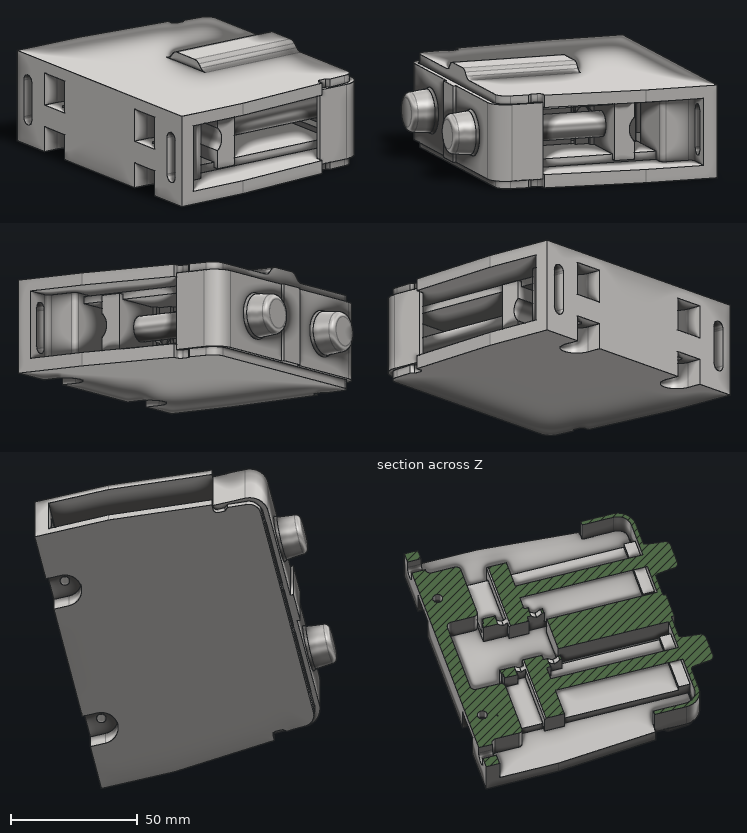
import cadquery as cq
import math

WIDTH = 110.0
CASE_HEIGHT = 37.3
MID_X = WIDTH / 2
STRAIGHT_LENGTH = 29.9
SHOULDER_Y = 71.1
SHOULDER_HALF_WIDTH = 51.5
CASE_BACK = 88.9
FRONT_WALL = 5.7
FLOOR_TOP = 5.4
ROOF_BOTTOM = 32.3

TONGUE_HALF_WIDTH = 49.0
TONGUE_BACK_HALF_WIDTH = 48.4
NOTCH_HALF_WIDTH = 47.7
NOTCH_END_Y = 75.5
NOTCH_JOG = 1.3
NOTCH_RADIUS = 1.6
TONGUE_CORNER_Y = 84.2

COVER_HALF_WIDTH = 49.8
COVER_BACK = 91.6
COVER_BOTTOM = 3.3
COVER_TOP = 34.0
COVER_WALL = 2.0
COVER_CORNER_RADIUS = 7.5
TAB_WIDTH = 11.2
TAB_BACK = 92.8

RIDGE_FRONT = 42.1
RIDGE_HALF_WIDTH = 12.9
RIDGE_HEIGHT = 3.7
RIDGE_RADIUS = 4.0

SLOT_X = 7.2
SLOT_WIDTH = 5.4
SLOT_BOTTOM = 8.4
SLOT_TOP = 28.8
POCKET_X = 25.0
POCKET_WIDTH = 13.2
POCKET_STRAIGHT = 6.2
UPPER_POCKET_BOTTOM = 19.2
UPPER_POCKET_TOP = 32.5
LOWER_POCKET_TOP = 10.3
MOUNT_HOLE_RADIUS = 1.9
HOUSING_WIDTH = 25.7
HOUSING_BACK = 19.1
HOUSING_RADIUS = 2.0

TERMINAL_X = 31.1
TERMINAL_Z = 18.6
PLATE_HALF_WIDTH = 13.0
LOWER_PLATE_TOP = 8.7
UPPER_PLATE_BOTTOM = 28.6
UPPER_PLATE_TOP = 31.5
WALL_THICKNESS = 2.2
JAW_FRONT = 19.8
JAW_LENGTH = 5.5
PARTITION_FRONT = 44.2
PARTITION_WIDTH = 15.4
BLOCK_HALF_WIDTH = 15.2
BLOCK_FRONT = 29.0
BLOCK_BACK = 37.3
BLOCK_BOTTOM = 6.5
BLOCK_TOP = 30.7
CABLE_HOLE_Y = 27.4
CABLE_HOLE_PITCH = 13.6
CABLE_HOLE_HALF_LENGTH = 3.7
CABLE_HOLE_HALF_HEIGHT = 5.7
SHAFT_RADIUS = 5.2
LEDGE_FRONT = 84.9
LEDGE_TOP = 10.8

KNOB_END = 101.8
KNOB_ROOT_RADIUS = 9.2
KNOB_BASE_RADIUS = 8.7
KNOB_BASE_Y = 92.8
KNOB_TIP_RADIUS = 7.8
KNOB_ROUNDING = 2.2


def box(x_range, y_range, z_range):
    sizes = [high - low for low, high in (x_range, y_range, z_range)]
    return cq.Workplane("XY").box(*sizes, centered=False).translate(
        (x_range[0], y_range[0], z_range[0])
    )


def centered_box(center_x, half_width, y_range, z_range):
    return box((center_x - half_width, center_x + half_width), y_range, z_range)


def both_sides(shape):
    """Join a left-hand shape with its mirror image across the middle of the part."""
    mirrored = shape.translate((-MID_X, 0, 0)).mirror("YZ").translate((MID_X, 0, 0))
    return shape.union(mirrored)


def case_plate(bottom, top):
    """Slab with the full outline of the case, including the notched rear part."""
    corner_run = CASE_BACK - TONGUE_CORNER_Y
    corner_half_width = TONGUE_BACK_HALF_WIDTH - corner_run
    bulge = corner_run * math.sqrt(0.5)
    half = (
        cq.Workplane("XY", origin=(MID_X, 0, bottom))
        .lineTo(-MID_X, 0)
        .lineTo(-MID_X, STRAIGHT_LENGTH)
        .lineTo(-SHOULDER_HALF_WIDTH, SHOULDER_Y)
        .lineTo(-NOTCH_HALF_WIDTH - NOTCH_RADIUS, SHOULDER_Y)
        .radiusArc((-NOTCH_HALF_WIDTH, SHOULDER_Y + NOTCH_RADIUS), -NOTCH_RADIUS)
        .lineTo(-NOTCH_HALF_WIDTH, NOTCH_END_Y)
        .lineTo(-TONGUE_HALF_WIDTH, NOTCH_END_Y + NOTCH_JOG)
        .lineTo(-TONGUE_BACK_HALF_WIDTH, TONGUE_CORNER_Y)
        .threePointArc(
            (-corner_half_width - bulge, TONGUE_CORNER_Y + bulge),
            (-corner_half_width, CASE_BACK),
        )
        .lineTo(0, CASE_BACK)
        .close()
        .extrude(top - bottom)
    )
    return both_sides(half)


def case():
    front_wall = box((0, WIDTH), (0, FRONT_WALL), (0, CASE_HEIGHT))
    return (
        case_plate(0, FLOOR_TOP)
        .union(case_plate(ROOF_BOTTOM, CASE_HEIGHT))
        .union(front_wall)
    )


def cover_block(inset, bottom, top):
    return (
        centered_box(
            MID_X, COVER_HALF_WIDTH - inset, (SHOULDER_Y, COVER_BACK - inset), (bottom, top)
        )
        .edges("|Z and >Y")
        .fillet(COVER_CORNER_RADIUS - inset)
    )


def cover():
    """Open-ended band that leaves a narrow gap behind the floor and the roof."""
    cavity = cover_block(COVER_WALL, COVER_BOTTOM, COVER_TOP)
    tab_y = (COVER_BACK - COVER_WALL, TAB_BACK)
    tab = centered_box(MID_X, TAB_WIDTH / 2, tab_y, (COVER_BOTTOM, COVER_TOP))
    return cover_block(0, COVER_BOTTOM, COVER_TOP).union(tab).cut(cavity)


def ridge():
    """Flat-topped ridge whose 45 degree flanks blend into the roof and the top."""
    arc_run = RIDGE_RADIUS * math.sin(math.pi / 4)
    arc_rise = RIDGE_RADIUS - arc_run
    flank = RIDGE_HEIGHT - 2 * arc_rise
    lower_x = RIDGE_HALF_WIDTH - arc_run
    upper_x = lower_x - flank
    top_x = upper_x - arc_run
    half = (
        cq.Workplane("XZ", origin=(MID_X, CASE_BACK, CASE_HEIGHT))
        .lineTo(-RIDGE_HALF_WIDTH, 0)
        .radiusArc((-lower_x, arc_rise), -RIDGE_RADIUS)
        .lineTo(-upper_x, arc_rise + flank)
        .radiusArc((-top_x, RIDGE_HEIGHT), RIDGE_RADIUS)
        .lineTo(0, RIDGE_HEIGHT)
        .close()
        .extrude(CASE_BACK - RIDGE_FRONT)
    )
    return both_sides(half)


def pocket_housing():
    """Solid behind the front wall that holds the mounting pockets."""
    housing = (
        centered_box(
            POCKET_X, HOUSING_WIDTH / 2, (FRONT_WALL, HOUSING_BACK), (FLOOR_TOP, ROOF_BOTTOM)
        )
        .edges("|Z and >Y")
        .fillet(HOUSING_RADIUS)
    )
    foot = centered_box(
        POCKET_X,
        HOUSING_WIDTH / 2 + HOUSING_RADIUS,
        (FRONT_WALL, FRONT_WALL + HOUSING_RADIUS),
        (FLOOR_TOP, ROOF_BOTTOM),
    )
    for side in (-1, 1):
        round_x = POCKET_X + side * (HOUSING_WIDTH / 2 + HOUSING_RADIUS)
        hollow = (
            cq.Workplane("XY", origin=(round_x, FRONT_WALL + HOUSING_RADIUS, FLOOR_TOP))
            .circle(HOUSING_RADIUS)
            .extrude(ROOF_BOTTOM - FLOOR_TOP)
        )
        foot = foot.cut(hollow)
    return housing.union(foot)


def mounting_pocket(bottom, top):
    radius = POCKET_WIDTH / 2
    straight = centered_box(POCKET_X, radius, (0, POCKET_STRAIGHT), (bottom, top))
    round_end = (
        cq.Workplane("XY", origin=(POCKET_X, POCKET_STRAIGHT, bottom))
        .circle(radius)
        .extrude(top - bottom)
    )
    return straight.union(round_end)


def front_openings():
    mount_hole = (
        cq.Workplane("XY", origin=(POCKET_X, POCKET_STRAIGHT, 0))
        .circle(MOUNT_HOLE_RADIUS)
        .extrude(UPPER_POCKET_TOP)
    )
    slot = (
        cq.Workplane("XZ", origin=(SLOT_X, 0, (SLOT_BOTTOM + SLOT_TOP) / 2))
        .slot2D(SLOT_TOP - SLOT_BOTTOM, SLOT_WIDTH, 90)
        .extrude(-FRONT_WALL)
    )
    return (
        mounting_pocket(UPPER_POCKET_BOTTOM, UPPER_POCKET_TOP)
        .union(mounting_pocket(0, LOWER_POCKET_TOP))
        .union(mount_hole)
        .union(slot)
    )


def cable_hole(center_y):
    """Pointed oval opening running along X, its points up and down."""
    return (
        cq.Workplane("YZ", origin=(0, center_y, TERMINAL_Z))
        .moveTo(0, -CABLE_HOLE_HALF_HEIGHT)
        .threePointArc((CABLE_HOLE_HALF_LENGTH, 0), (0, CABLE_HOLE_HALF_HEIGHT))
        .threePointArc((-CABLE_HOLE_HALF_LENGTH, 0), (0, -CABLE_HOLE_HALF_HEIGHT))
        .close()
        .extrude(MID_X)
    )


def terminal():
    """Two plates joined by an inner wall with jaws, with a clamp block on a shaft."""
    outer_x = TERMINAL_X - PLATE_HALF_WIDTH
    inner_x = TERMINAL_X + PLATE_HALF_WIDTH
    cover_inside = COVER_BACK - COVER_WALL
    plate_y = (HOUSING_BACK, cover_inside)
    jaw_x = (inner_x - 2 * WALL_THICKNESS, inner_x - WALL_THICKNESS)
    wall_z = (LOWER_PLATE_TOP, UPPER_PLATE_BOTTOM)
    lower_plate = box((outer_x, inner_x), plate_y, (FLOOR_TOP, LOWER_PLATE_TOP))
    upper_plate = box((outer_x, inner_x), plate_y, (UPPER_PLATE_BOTTOM, UPPER_PLATE_TOP))
    inner_wall = box((inner_x - WALL_THICKNESS, inner_x), (HOUSING_BACK, PARTITION_FRONT), wall_z)
    block = centered_box(
        TERMINAL_X, BLOCK_HALF_WIDTH, (BLOCK_FRONT, BLOCK_BACK), (BLOCK_BOTTOM, BLOCK_TOP)
    )
    ledge = box((outer_x, inner_x), (LEDGE_FRONT, cover_inside), (LOWER_PLATE_TOP, LEDGE_TOP))
    shaft = (
        cq.Workplane("XZ", origin=(TERMINAL_X, BLOCK_BACK, TERMINAL_Z))
        .circle(SHAFT_RADIUS)
        .extrude(BLOCK_BACK - COVER_BACK)
    )
    clamp = lower_plate.union(upper_plate).union(inner_wall).union(block)
    for offset in (0, CABLE_HOLE_PITCH):
        jaw_y = (JAW_FRONT + offset, JAW_FRONT + JAW_LENGTH + offset)
        clamp = clamp.union(box(jaw_x, jaw_y, wall_z))
    for offset in (0, CABLE_HOLE_PITCH):
        clamp = clamp.cut(cable_hole(CABLE_HOLE_Y + offset))
    return clamp.union(ledge).union(shaft)


def knob():
    root_y = COVER_BACK - COVER_WALL / 2
    return (
        cq.Workplane("XY", origin=(TERMINAL_X, 0, TERMINAL_Z))
        .moveTo(0, root_y)
        .lineTo(KNOB_ROOT_RADIUS, root_y)
        .lineTo(KNOB_ROOT_RADIUS, COVER_BACK)
        .lineTo(KNOB_BASE_RADIUS, KNOB_BASE_Y)
        .lineTo(KNOB_TIP_RADIUS, KNOB_END)
        .lineTo(0, KNOB_END)
        .close()
        .revolve(360, (0, 0, 0), (0, 1, 0))
        .faces(">Y")
        .edges()
        .fillet(KNOB_ROUNDING)
    )


partition = centered_box(
    MID_X,
    PARTITION_WIDTH / 2,
    (PARTITION_FRONT, COVER_BACK - COVER_WALL),
    (FLOOR_TOP, ROOF_BOTTOM),
)

result = (
    case()
    .union(cover())
    .union(ridge())
    .union(partition)
    .union(both_sides(pocket_housing()))
    .cut(both_sides(front_openings()))
    .union(both_sides(terminal()))
    .union(both_sides(knob()))
)